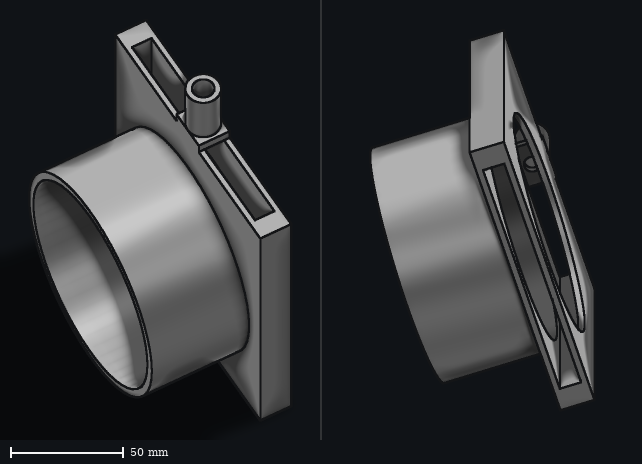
import cadquery as cq

total_height = 169.0
plate_width = 130.0
plate_thickness = 16.0
plate_height = 138.0
slot_width = 110.0
slot_thickness = 10.0

tube_outer_diameter = slot_width
tube_bore_diameter = 102.0
tube_length = 50.0
tube_center_z = 60.0

bridge_width = 20.0
bridge_height = 4.9
bridge_hole_diameter = 7.1

guide_outer_diameter = plate_thickness
guide_bore_diameter = 10.0

bridge_top_z = plate_height + bridge_height
guide_height = total_height - bridge_top_z
plate_front_y = -plate_thickness / 2
plate_back_y = plate_thickness / 2


def box_on_z(width, thickness, height, base_z):
    """Box centred on the Z axis, standing at base_z."""
    return cq.Workplane("XY").workplane(offset=base_z).rect(width, thickness).extrude(height)


def rod_on_z(diameter, height, base_z):
    """Upright cylinder on the Z axis, standing at base_z."""
    return cq.Workplane("XY").workplane(offset=base_z).circle(diameter / 2).extrude(height)


def duct_cylinder(diameter, start_y, length):
    """Cylinder on the duct axis, running from start_y towards -Y."""
    return (
        cq.Workplane("XZ", origin=(0, start_y, tube_center_z))
        .circle(diameter / 2)
        .extrude(length)
    )


plate = box_on_z(plate_width, plate_thickness, plate_height, 0)
gate_slot = box_on_z(slot_width, slot_thickness, plate_height, 0)
tube = duct_cylinder(tube_outer_diameter, plate_front_y, tube_length)
duct_bore = duct_cylinder(tube_bore_diameter, plate_back_y, plate_thickness + tube_length)
body = plate.cut(gate_slot).union(tube).cut(duct_bore)

bridge = box_on_z(bridge_width, plate_thickness, bridge_height, plate_height)
guide = rod_on_z(guide_outer_diameter, guide_height, bridge_top_z)
bridge_hole = rod_on_z(bridge_hole_diameter, bridge_height, plate_height)
guide_bore = rod_on_z(guide_bore_diameter, guide_height, bridge_top_z)
rod_guide = bridge.union(guide).cut(bridge_hole).cut(guide_bore)

result = body.union(rod_guide)